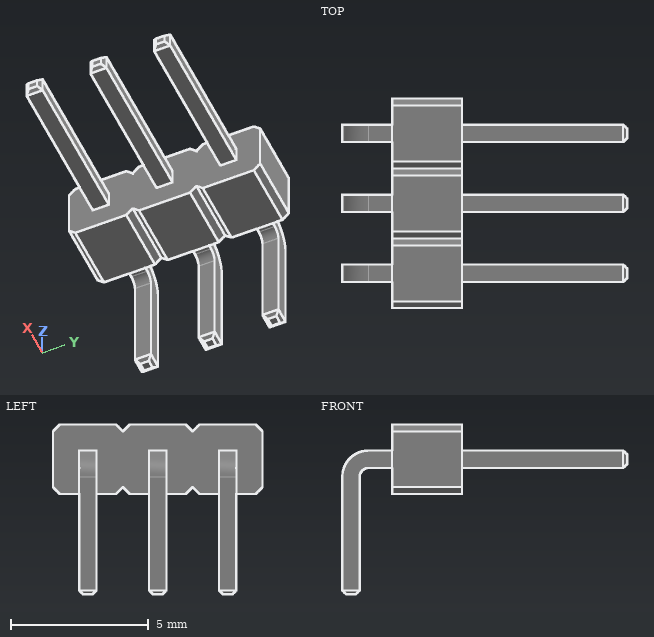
import cadquery as cq
import math

pin_count = 3
pitch = 2.54
body_size = pitch
body_chamfer = pitch / 10

pin_width = 0.64
bend_inner_radius = pin_width / 2
bend_outer_radius = bend_inner_radius + pin_width
tip_chamfer = 0.15

front_reach = 6.0
rear_reach = 1.82
drop = 4.91

front_tip_x = body_size / 2 + front_reach
rear_x = -body_size / 2 - rear_reach


def make_segment(y):
    """One body segment, bevelled along its four X edges."""
    segment = cq.Workplane("XY").box(body_size, pitch, body_size)
    return segment.edges("|X").chamfer(body_chamfer).translate((0, y, 0))


def make_pin(y):
    """One L-shaped square pin with a rounded bend and bevelled tips."""
    half = pin_width / 2
    bend_x = rear_x + bend_outer_radius
    bend_z = half - bend_outer_radius
    diagonal = math.sqrt(0.5)
    outer_mid = (bend_x - bend_outer_radius * diagonal, bend_z + bend_outer_radius * diagonal)
    inner_mid = (bend_x - bend_inner_radius * diagonal, bend_z + bend_inner_radius * diagonal)
    pin = (
        cq.Workplane("XZ")
        .moveTo(front_tip_x, half)
        .lineTo(bend_x, half)
        .threePointArc(outer_mid, (rear_x, bend_z))
        .lineTo(rear_x, -drop)
        .lineTo(rear_x + pin_width, -drop)
        .lineTo(rear_x + pin_width, bend_z)
        .threePointArc(inner_mid, (bend_x, -half))
        .lineTo(front_tip_x, -half)
        .close()
        .extrude(half, both=True)
    )
    pin = pin.faces(">X").chamfer(tip_chamfer)
    pin = pin.faces("<Z").chamfer(tip_chamfer)
    return pin.translate((0, y, 0))


row_positions = [(i - (pin_count - 1) / 2) * pitch for i in range(pin_count)]

result = make_segment(row_positions[0])
for y in row_positions[1:]:
    result = result.union(make_segment(y))
for y in row_positions:
    result = result.union(make_pin(y))